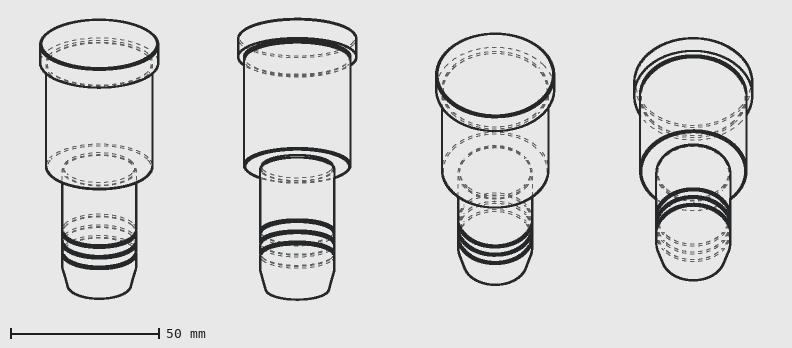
import cadquery as cq

total_length = 90.0
head_height = 7.0
pin_length = 44.0

head_diameter = 40.0
body_diameter = 36.0
pin_diameter = 25.0
pin_neck_diameter = 24.0
tip_diameter = 21.3

head_chamfer = 0.45
body_chamfer = 0.45
tip_fillet = 0.5

taper_length = 7.0
neck_length = 1.0
groove_width = 1.0
groove_depth = 0.45
first_groove_z = 12.5
groove_pitch = 4.0
groove_count = 3

head_bottom_z = total_length - head_height


def cylinder(diameter, bottom_z, top_z):
    """Solid cylinder on the Z axis between two heights."""
    return cq.Workplane("XY").workplane(offset=bottom_z).circle(diameter / 2).extrude(top_z - bottom_z)


def vee_groove(diameter, center_z):
    """Ring-shaped cutter for a V groove around a cylinder of the given diameter."""
    radius = diameter / 2
    outer_radius = radius + groove_depth
    return (
        cq.Workplane("XZ")
        .moveTo(radius - groove_depth, center_z)
        .lineTo(outer_radius, center_z + groove_width)
        .lineTo(outer_radius, center_z - groove_width)
        .close()
        .revolve(360, (0, 0, 0), (0, 1, 0))
    )


tip = (
    cq.Workplane("XY")
    .circle(tip_diameter / 2)
    .workplane(offset=taper_length)
    .circle(pin_diameter / 2)
    .loft()
    .faces("<Z")
    .edges()
    .fillet(tip_fillet)
)
neck_bottom_z = pin_length - neck_length
shank = cylinder(pin_diameter, taper_length, neck_bottom_z)
for index in range(groove_count):
    shank = shank.cut(vee_groove(pin_diameter, first_groove_z + index * groove_pitch))
neck = cylinder(pin_neck_diameter, neck_bottom_z, pin_length)

body = cylinder(body_diameter, pin_length, head_bottom_z).faces("<Z").edges().chamfer(body_chamfer)
body = body.cut(vee_groove(body_diameter, head_bottom_z - groove_width / 2))

head = cylinder(head_diameter, head_bottom_z, total_length).faces(">Z").edges().chamfer(head_chamfer)

result = tip.union(shank).union(neck).union(body).union(head)